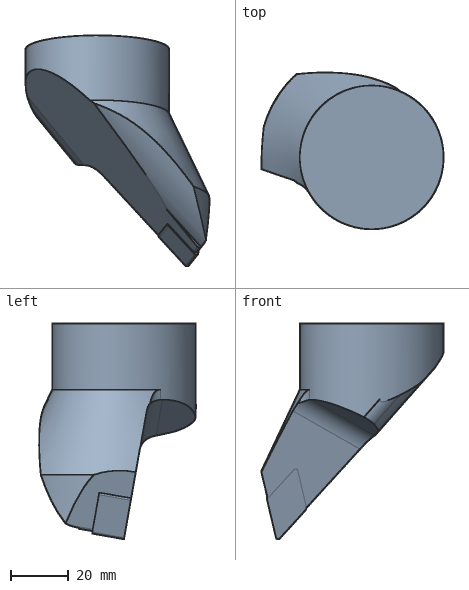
import cadquery as cq
import math

SHANK_RADIUS = 25.0
OVERALL_LENGTH = 75.0

FLARE_TOP_Z = -23.0
FLARE_END_Z = -52.6
ARM_RADIUS = 39.0
ARM_SIDE_ANGLE = 30.0
ARM_SIDE_FILLET = 8.0

RAKE_ANGLE = 10.0
EDGE_ANGLE = 48.1
NOSE_ANGLE = 55.0
NOSE_RADIUS = 0.8
NOSE_X = -32.95
TIP_Z = -OVERALL_LENGTH

INSERT_EDGE = 15.5
INSERT_DEPTH = 11.3
INSERT_OVERHANG = 0.3
ARM_NOSE_RADIUS = 1.0

WALL_DIRECTION = -30.0
WALL_DISTANCE = 47.9
WALL_LEAN = 24.8
WALL_FILLET = 8.0

TAIL_SIDE_RADIUS = 5.9
TAIL_BOTTOM_RADIUS = 10.0
TAIL_BOTTOM_HEIGHT = -1.1
BACK_START_Y = 15.5
BACK_START_HEIGHT = 3.3
BACK_PITCH = -3.2
BACK_RADIUS = 21.2
BACK_SWEEP = 60.0

FAR = 200.0

EDGE_END_ANGLE = EDGE_ANGLE + NOSE_ANGLE
RAKE_SIN = math.sin(math.radians(RAKE_ANGLE))
RAKE_COS = math.cos(math.radians(RAKE_ANGLE))


def polar(distance, angle, start=(0.0, 0.0)):
    turn = math.radians(angle)
    return (start[0] + distance * math.cos(turn), start[1] + distance * math.sin(turn))


def sharp_nose():
    """Sharp insert corner, placed so the rounded nose ends at (Y = 0, Z = TIP_Z)."""
    half = NOSE_ANGLE / 2
    centre_distance = NOSE_RADIUS / math.sin(math.radians(half))
    drop = polar(centre_distance, EDGE_ANGLE + half)[1] - NOSE_RADIUS
    return (NOSE_X, drop * RAKE_SIN, TIP_Z - drop * RAKE_COS)


NOSE = sharp_nose()
RAKE_NORMAL = (0.0, -RAKE_COS, -RAKE_SIN)
RAKE_PLANE = cq.Plane(origin=NOSE, xDir=(1, 0, 0), normal=RAKE_NORMAL)


def make_shank():
    """Plain cylinder, long enough for the slanted underside to end it."""
    return cq.Workplane("XY").circle(SHANK_RADIUS).extrude(-OVERALL_LENGTH)


def make_arm():
    """Flared body, kept only behind its filleted side."""
    flare = (
        cq.Workplane("XZ")
        .moveTo(0, FLARE_TOP_Z)
        .lineTo(-SHANK_RADIUS, FLARE_TOP_Z)
        .lineTo(-ARM_RADIUS, FLARE_END_Z)
        .lineTo(-ARM_RADIUS, TIP_Z)
        .lineTo(0, TIP_Z)
        .close()
        .revolve(360, (0, 0, 0), (0, 1, 0))
    )
    leave_angle = 180 + ARM_SIDE_ANGLE
    start = polar(SHANK_RADIUS, leave_angle)
    centre = polar(SHANK_RADIUS + ARM_SIDE_FILLET, leave_angle)
    middle = polar(ARM_SIDE_FILLET, (ARM_SIDE_ANGLE + 90) / 2, centre)
    end = polar(ARM_SIDE_FILLET, 90, centre)
    side = (
        cq.Workplane("XY")
        .moveTo(*start)
        .threePointArc(middle, end)
        .lineTo(-FAR, end[1])
        .lineTo(-FAR, -FAR)
        .lineTo(FAR, -FAR)
        .lineTo(FAR, start[1])
        .close()
        .extrude(-FAR)
    )
    return flare.cut(side)


def make_wedge():
    """Wedge between the two flanks below the insert edges, square to the rake plane."""
    half = NOSE_ANGLE / 2
    corner = polar(INSERT_OVERHANG / math.sin(math.radians(half)), EDGE_ANGLE + half)
    return (
        cq.Workplane(RAKE_PLANE)
        .polyline([corner, polar(FAR, EDGE_ANGLE, corner), polar(FAR, EDGE_END_ANGLE, corner)])
        .close()
        .extrude(FAR, both=True)
        .edges(cq.selectors.NearestToPointSelector(NOSE))
        .fillet(ARM_NOSE_RADIUS)
    )


def make_rake_recess():
    """Open space in front of the rake face, closed by the filleted leaning wall."""
    run = RAKE_PLANE.toWorldCoords(polar(1, WALL_DIRECTION)) - RAKE_PLANE.origin
    across = RAKE_PLANE.toWorldCoords(polar(1, WALL_DIRECTION + 90)) - RAKE_PLANE.origin
    section = cq.Plane(origin=NOSE, xDir=across, normal=run)
    foot = (WALL_DISTANCE, 0)
    wall_end = (WALL_DISTANCE + FAR * math.tan(math.radians(WALL_LEAN)), FAR)
    return (
        cq.Workplane(section)
        .polyline([(-FAR, 0), foot, wall_end, (-FAR, FAR)])
        .close()
        .extrude(FAR, both=True)
        .edges(cq.selectors.NearestToPointSelector(section.toWorldCoords(foot)))
        .fillet(WALL_FILLET)
    )


def underside_workplane(pitch=0.0):
    """Section across the underside: local x is Y, local y points into the body."""
    slope = math.atan(math.tan(math.radians(EDGE_ANGLE)) / RAKE_COS) + math.radians(pitch)
    direction = (math.cos(slope), 0, math.sin(slope))
    return cq.Workplane(cq.Plane(origin=NOSE, xDir=(0, 1, 0), normal=direction))


def make_tail_relief():
    """Two tangent arcs of 45 degrees each, from the underside to the front of the shank."""
    bottom_angle = 270
    side_angle = 180
    joint_angle = (bottom_angle + side_angle) / 2
    radius_change = TAIL_BOTTOM_RADIUS - TAIL_SIDE_RADIUS
    height = polar(radius_change, joint_angle, (0, TAIL_BOTTOM_HEIGHT + TAIL_BOTTOM_RADIUS))[1]
    side_centre = (TAIL_SIDE_RADIUS - SHANK_RADIUS, height)
    joint = polar(TAIL_SIDE_RADIUS, joint_angle, side_centre)
    bottom_centre = polar(radius_change, joint_angle - 180, side_centre)
    bottom_middle = polar(TAIL_BOTTOM_RADIUS, (bottom_angle + joint_angle) / 2, bottom_centre)
    side_middle = polar(TAIL_SIDE_RADIUS, (joint_angle + side_angle) / 2, side_centre)
    return (
        underside_workplane()
        .moveTo(bottom_centre[0], TAIL_BOTTOM_HEIGHT)
        .threePointArc(bottom_middle, joint)
        .threePointArc(side_middle, (-SHANK_RADIUS, height))
        .lineTo(-FAR, height)
        .lineTo(-FAR, -FAR)
        .lineTo(FAR, -FAR)
        .lineTo(FAR, TAIL_BOTTOM_HEIGHT)
        .close()
        .extrude(FAR, both=True)
    )


def make_back_relief():
    """Arc that rounds the back of the underside upward, past the insert."""
    start = (BACK_START_Y, BACK_START_HEIGHT)
    start_angle = RAKE_ANGLE - 90
    centre = polar(BACK_RADIUS, start_angle + 180, start)
    end = polar(BACK_RADIUS, start_angle + BACK_SWEEP, centre)
    return (
        underside_workplane(BACK_PITCH)
        .moveTo(*start)
        .threePointArc(polar(BACK_RADIUS, start_angle + BACK_SWEEP / 2, centre), end)
        .lineTo(FAR, end[1])
        .lineTo(FAR, -FAR)
        .lineTo(BACK_START_Y, -FAR)
        .close()
        .extrude(FAR, both=True)
    )


def make_insert():
    """Rhombic insert with rounded corners, square to the rake plane."""
    first = polar(INSERT_EDGE, EDGE_ANGLE)
    second = polar(INSERT_EDGE, EDGE_END_ANGLE)
    opposite = polar(INSERT_EDGE, EDGE_END_ANGLE, first)
    return (
        cq.Workplane(RAKE_PLANE)
        .polyline([(0, 0), first, opposite, second])
        .close()
        .extrude(-INSERT_DEPTH)
        .edges(cq.selectors.ParallelDirSelector(RAKE_PLANE.zDir))
        .fillet(NOSE_RADIUS)
    )


body = make_shank().union(make_arm()).intersect(make_wedge())
body = body.cut(make_rake_recess()).cut(make_tail_relief()).cut(make_back_relief())
insert = make_insert()
result = body.cut(insert).union(insert, clean=False)